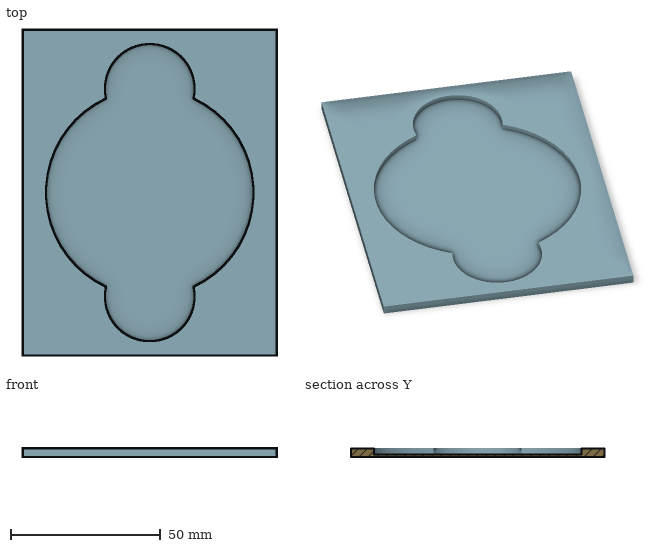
import cadquery as cq

PLATE_X = 85.0
PLATE_Y = 109.0
PLATE_THICKNESS = 3.0

RECESS_DIAMETER = 69.4
LOBE_DIAMETER = 30.0
RECESS_DEPTH = 2.0

recess_radius = RECESS_DIAMETER / 2
recess_floor_z = PLATE_THICKNESS - RECESS_DEPTH


def make_plate():
    return cq.Workplane("XY").box(PLATE_X, PLATE_Y, PLATE_THICKNESS, centered=(True, True, False))


def make_recess():
    """Volume removed by the round recess and its two finger lobes."""
    floor = cq.Workplane("XY").workplane(offset=recess_floor_z)
    disc = floor.circle(recess_radius).extrude(RECESS_DEPTH)
    lobe_centres = [(0, recess_radius), (0, -recess_radius)]
    lobes = floor.pushPoints(lobe_centres).circle(LOBE_DIAMETER / 2).extrude(RECESS_DEPTH)
    return disc.union(lobes)


result = make_plate().cut(make_recess())